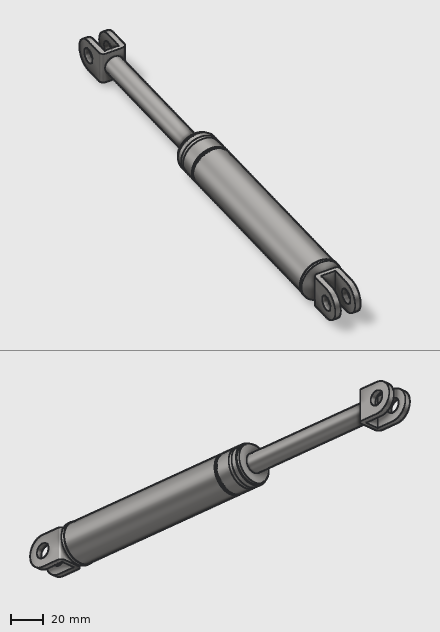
import cadquery as cq

total_length = 311.0
x_rod_tip = -total_length / 2
x_housing_tip = total_length / 2

fork_length = 27.0
fork_height = 22.0
fork_width = 18.0
fork_gap = 10.0
fork_base = 3.0
fork_corner_radius = 3.0
pin_hole_diameter = 10.0
fork_end_radius = fork_height / 2

rod_diameter = 13.0
x_rod_start = x_rod_tip + fork_length

tube_diameter = 27.5
tube_radius = tube_diameter / 2
exposed_rod_length = 99.0
x_tube_front = x_rod_start + exposed_rod_length
lip_radius = 12.9
lip_length = 2.0
round_groove_offset = 7.0
round_groove_width = 2.5
round_groove_depth = 0.4
square_groove_offset = 19.7
square_groove_width = 1.8
square_groove_depth = 0.8

collar_diameter = 28.2
collar_radius = collar_diameter / 2
collar_width = 2.2
cone_length = 5.3
cone_end_radius = 6.5
x_cone_end = x_housing_tip - fork_length
x_collar_rear = x_cone_end - cone_length
x_collar_front = x_collar_rear - collar_width


def make_fork(x_tip, inward):
    """U-shaped clevis with a rounded tip at x_tip; inward (+1 or -1) points from the tip to its base."""
    x_base = x_tip + inward * fork_length
    x_eye = x_tip + inward * fork_end_radius
    x_gap_floor = x_base - inward * fork_base

    fork = (
        cq.Workplane("XZ")
        .moveTo(x_base, fork_end_radius)
        .lineTo(x_eye, fork_end_radius)
        .threePointArc((x_tip, 0), (x_eye, -fork_end_radius))
        .lineTo(x_base, -fork_end_radius)
        .close()
        .extrude(fork_width / 2, both=True)
    )
    base_face = ">X" if inward > 0 else "<X"
    fork = fork.faces(base_face).edges("|Z").fillet(fork_corner_radius)

    gap_length = fork_length - fork_base
    gap = cq.Workplane("XY").box(gap_length, fork_gap, fork_height)
    gap = gap.translate(((x_tip + x_gap_floor) / 2, 0, 0))
    pin_hole = (
        cq.Workplane("XZ")
        .center(x_eye, 0)
        .circle(pin_hole_diameter / 2)
        .extrude(fork_width, both=True)
    )
    return fork.cut(gap).cut(pin_hole)


def make_rod():
    """Piston rod with its fork; the rod ends against the front face of the housing."""
    shaft = (
        cq.Workplane("YZ", origin=(x_rod_start - fork_base / 2, 0, 0))
        .circle(rod_diameter / 2)
        .extrude(exposed_rod_length + fork_base / 2)
    )
    return shaft.union(make_fork(x_rod_tip, 1))


def make_housing():
    """Turned tube with a front lip, a round and a square groove, a rear collar, a cone and the rear fork."""
    x_tube_shoulder = x_tube_front + lip_length
    x_round_groove = x_tube_front + round_groove_offset
    x_square_groove = x_tube_front + square_groove_offset
    square_groove_radius = tube_radius - square_groove_depth
    x_core_end = x_cone_end + fork_base / 2

    profile = (
        cq.Workplane("XY")
        .moveTo(x_tube_front, 0)
        .lineTo(x_tube_front, lip_radius)
        .lineTo(x_tube_shoulder, lip_radius)
        .lineTo(x_tube_shoulder, tube_radius)
        .lineTo(x_round_groove - round_groove_width / 2, tube_radius)
        .threePointArc(
            (x_round_groove, tube_radius - round_groove_depth),
            (x_round_groove + round_groove_width / 2, tube_radius),
        )
        .lineTo(x_square_groove - square_groove_width / 2, tube_radius)
        .lineTo(x_square_groove - square_groove_width / 2, square_groove_radius)
        .lineTo(x_square_groove + square_groove_width / 2, square_groove_radius)
        .lineTo(x_square_groove + square_groove_width / 2, tube_radius)
        .lineTo(x_collar_front, tube_radius)
        .lineTo(x_collar_front, collar_radius)
        .lineTo(x_collar_rear, collar_radius)
        .lineTo(x_cone_end, cone_end_radius)
        .lineTo(x_core_end, cone_end_radius)
        .lineTo(x_core_end, 0)
        .close()
    )
    tube = profile.revolve(360, (0, 0, 0), (1, 0, 0))
    return tube.union(make_fork(x_housing_tip, -1))


rod = make_rod()
housing = make_housing()

result = cq.Compound.makeCompound([rod.val(), housing.val()])